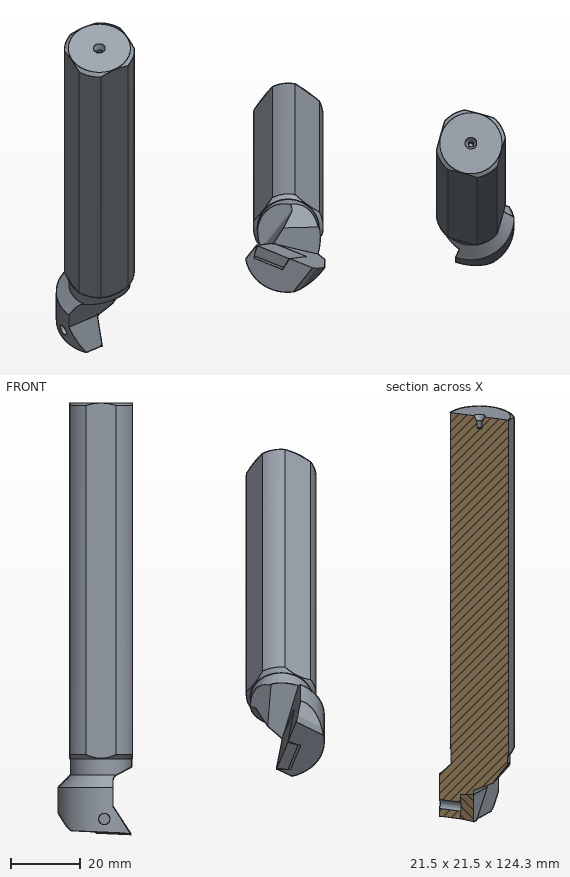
import cadquery as cq
import math

total_height = 124.3
shank_bottom = 21.9
shank_radius = 10.1
flat_distance = 9.1
end_radius = 9.0
top_chamfer_height = 0.7
bottom_chamfer_height = 1.2

centre_hole_radius = 1.68
centre_drill_radius = 0.7
centre_drill_depth = 3.7
countersink_angle = 60.0

neck_radius = 8.8
head_radius = 12.4
cone_bottom = 13.7
cone_top = cone_bottom + head_radius - neck_radius
cut_reach = 37.3

tip_x = 8.6
insert_half_length = 9.1
insert_thickness = 4.0
insert_relief_angle = 7.0
bottom_slope = 2.5
corner_angle = 55.0
screw_hole_radius = 1.6

rake_angle = 13.0
rake_tip_y = -3.7
cos_rake = math.cos(math.radians(rake_angle))

tip_direction = -math.radians(bottom_slope + corner_angle / 2)
insert_x = tip_x - insert_half_length * cos_rake * math.cos(tip_direction)
insert_z = -insert_half_length * math.sin(tip_direction)

notch_x = 3.5
notch_bottom = 8.2
notch_top = 16.7
notch_fillet = 1.9
notch_rim_z = 19.5
head_tip_z = 0.4

corner_top = 6.3
corner_knee = (-10.0, 2.4)
corner_end_x = -8.6
corner_end_z = head_tip_z + (tip_x - corner_end_x) * math.tan(math.radians(bottom_slope))

steep_wall = (7.1, 0.0, 1.4)
skewed_wall = (10.8, -0.45, 0.5)


def make_shank():
    length = total_height - shank_bottom
    flats = cq.Workplane("XY").workplane(offset=shank_bottom).rect(2 * flat_distance, 2 * flat_distance)
    turned = (
        cq.Workplane("XZ")
        .moveTo(0, shank_bottom)
        .lineTo(end_radius, shank_bottom)
        .lineTo(shank_radius, shank_bottom + bottom_chamfer_height)
        .lineTo(shank_radius, total_height - top_chamfer_height)
        .lineTo(end_radius, total_height)
        .lineTo(0, total_height)
        .close()
        .revolve(360, (0, 0, 0), (0, 1, 0))
    )
    return (
        turned.intersect(flats.extrude(length))
        .faces(">Z").workplane(origin=(0, 0, total_height))
        .cskHole(2 * centre_drill_radius, 2 * centre_hole_radius, countersink_angle, centre_drill_depth)
    )


def make_turned_head():
    return (
        cq.Workplane("XZ")
        .lineTo(head_radius, 0)
        .lineTo(head_radius, cone_bottom)
        .lineTo(neck_radius, cone_top)
        .lineTo(neck_radius, shank_bottom)
        .lineTo(0, shank_bottom)
        .close()
        .revolve(360, (0, 0, 0), (0, 1, 0))
    )


def make_head_outline():
    """Side outline of the head in XZ, extruded through along Y."""
    outline = (
        cq.Workplane("XZ")
        .moveTo(tip_x, head_tip_z)
        .lineTo(notch_x, notch_bottom)
        .lineTo(notch_x, notch_top)
        .lineTo(neck_radius, notch_rim_z)
        .lineTo(neck_radius, shank_bottom)
        .lineTo(-head_radius, shank_bottom)
        .lineTo(-head_radius, corner_top)
        .lineTo(*corner_knee)
        .lineTo(corner_end_x, corner_end_z)
        .close()
        .extrude(cut_reach / 2, both=True)
    )
    notch_edge = cq.selectors.NearestToPointSelector((notch_x, 0, notch_top))
    return outline.edges("|Y").edges(notch_edge).fillet(notch_fillet)


def space_below_wall(height, rise_x, rise_y):
    """Everything below the slanted plane z = height + rise_x * x + rise_y * y."""
    wall = cq.Plane(origin=(0, 0, height), xDir=(1, 0, rise_x), normal=(rise_x, rise_y, -1))
    return cq.Workplane(wall).rect(2 * cut_reach, 2 * cut_reach).extrude(2 * cut_reach)


def make_flute():
    """Chip space on the +Y side of the rake plane, below the two end walls."""
    chip_space = (
        cq.Workplane("XY")
        .box(2 * cut_reach, cut_reach, 2 * cut_reach, centered=(True, False, True))
        .rotate((0, 0, 0), (0, 0, 1), -rake_angle)
        .translate((tip_x, rake_tip_y, 0))
    )
    below_walls = space_below_wall(*steep_wall).union(space_below_wall(*skewed_wall))
    return chip_space.intersect(below_walls)


def insert_plane():
    """Rake plane centred on the insert, its normal pointing into the head."""
    turn = math.radians(rake_angle)
    centre_y = rake_tip_y + (tip_x - insert_x) * math.tan(turn)
    return cq.Plane(
        origin=(insert_x, centre_y, insert_z),
        xDir=(math.cos(turn), -math.sin(turn), 0),
        normal=(-math.sin(turn), -math.cos(turn), 0),
    )


def make_insert():
    half_width = insert_half_length * math.tan(math.radians(corner_angle / 2))
    return (
        cq.Workplane(insert_plane())
        .transformed(rotate=(0, 0, math.degrees(tip_direction)))
        .polyline([(insert_half_length, 0), (0, half_width), (-insert_half_length, 0), (0, -half_width)])
        .close()
        .extrude(insert_thickness, taper=insert_relief_angle)
    )


def make_screw_hole():
    """Hole from the -Y side of the head up to the back of the insert."""
    centre = insert_plane().origin
    return (
        cq.Workplane("XZ", origin=(centre.x, centre.y, centre.z))
        .circle(screw_hole_radius)
        .extrude(cut_reach)
    )


def make_holder(insert):
    head = make_turned_head().intersect(make_head_outline()).cut(make_flute())
    return make_shank().union(head).cut(make_screw_hole()).cut(insert)


insert = make_insert()
holder = make_holder(insert)
result = cq.Compound.makeCompound([holder.val(), insert.val()])